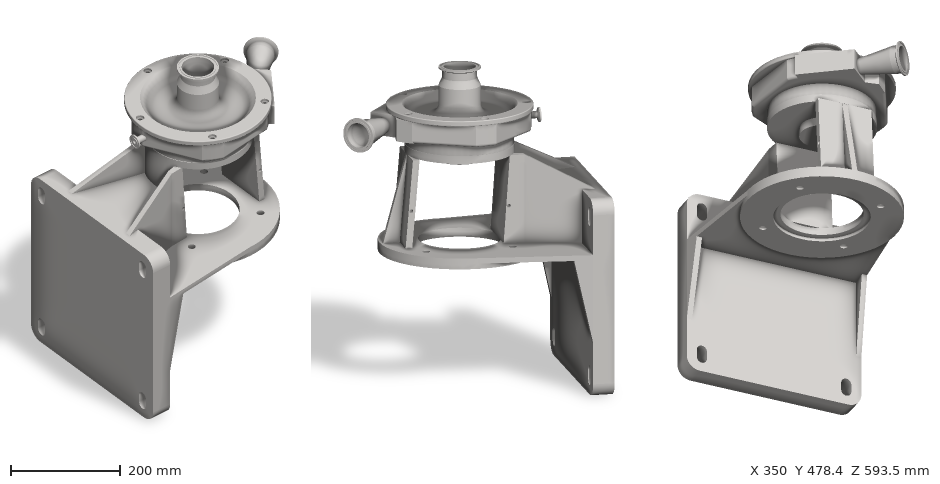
import cadquery as cq
import math


BASE_TOP = 269.5
REGISTER_BOTTOM = 249.0
WALL_TOP = 370.5
LEG_TOP = 435.0
RING_TOP = 450.0
CASING_BOTTOM = 473.0
CASING_TOP = 514.0
COVER_TOP = 524.0
INLET_TOP = 593.5
OUTLET_Z = 492.0
DRAIN_Z = 494.0

WALL_WIDTH = 350.0
WALL_FRONT = -250.0
WALL_THICKNESS = 40.5
WALL_BACK = WALL_FRONT + WALL_THICKNESS
WALL_CORNER = 26.0
SLOT_WIDTH = 20.0
SLOT_HEIGHT = 35.5
SLOT_SPACING_X = 289.5
SLOT_SPACING_Z = 299.0

BASE_RADIUS = 149.5
BASE_THICKNESS = 10.0
BASE_HOLE_RADIUS = 76.0
MOTOR_SPIGOT_RADIUS = 89.0
MOTOR_SPIGOT_DEPTH = 6.0
MOTOR_BOLT_RADIUS = 114.5
MOTOR_BOLT_HOLE = 14.0
MOTOR_BOLT_COUNT = 4
FIRST_MOTOR_BOLT_ANGLE = 45
RIB_THICKNESS = 10.5
LOWER_RIB_LENGTH = 34.5
LOWER_RIB_BOTTOM = 104.0

LEG_HALF_WIDTH = 53.5
LEG_THICKNESS = 12.5
REAR_LEG_TOP_Y = 87.0
LEG_LEAN = 13.5
FRONT_LEG_TOP_Y = -81.5
FRONT_LEG_LEAN = 11.0
REAR_RIB_FOOT = 144.0
PIN_HOLE = 7.0
PIN_HOLE_DEPTH = 12.0
PIN_HOLE_Z = 339.5
FRONT_PIN_Y = -79.5
REAR_PIN_Y = 102.5
GUSSET_START_Y = -108.5
GUSSET_END_Y = -234.5
GUSSET_FOOT_X = 88.5
GUSSET_HEAD_X = 57.0
GUSSET_INNER_X = 41.0
GUSSET_INNER_Y = -84.0

RING_RADIUS = 100.5
BODY_RADIUS = 99.0
HUB_RADIUS = 41.5
HUB_BOTTOM = 418.5
CASING_EDGE_FILLET = 5.5
COVER_RADIUS = 135.0
COVER_EDGE_FILLET = 2.0
LOBE_HALF_ANGLE = 9
LOBE_RADII = [130.5, 132.0, 131.0, 130.5, 129.0]
LOBE_COUNT = len(LOBE_RADII)
FIRST_LOBE_ANGLE = 45
LOBE_ANGLES = [FIRST_LOBE_ANGLE + 360 / LOBE_COUNT * i for i in range(LOBE_COUNT)]
COVER_BOLT_RADIUS = 122.0
BOLT_RECESS = 15.5
BOLT_RECESS_DEPTH = 4.0
BOLT_SOCKET = 7.0
BOLT_SOCKET_DEPTH = 8.0

DISH_DEPTH = 17.0
DISH_TOP_RADIUS = 105.5
DISH_FLOOR_RADIUS = 83.0
DISH_FILLET = 15.0
DISH_WALL_SLOPE = math.radians(45)

INLET_RADIUS = 38.5
INLET_ROOT_FILLET = 16.0
INLET_NECK_RADIUS = 32.0
INLET_BORE_RADIUS = 29.5
INLET_BORE_BOTTOM = 485.5
INLET_CONE_BOTTOM = 558.5
INLET_CONE_TOP = 573.5

FERRULE_LIP = 3.0
GROOVE_MARGIN = 3.0
GROOVE_WIDTH = 2.5
GROOVE_DEPTH = 1.0

OUTLET_ANGLE = 135
OUTLET_OFFSET = 97.0
OUTLET_FACE = 109.0
OUTLET_END = 194.0
OUTLET_CYLINDER_START = 177.0
OUTLET_BLOCK_START = 70.0
OUTLET_BLOCK_REACH = 123.5
OUTLET_BLOCK_END = 140.5
SHOULDER_DISTANCE = 131.0
SHOULDER_OFFSET = 54.0
OUTLET_SMALL_RADIUS = 15.0
OUTLET_LARGE_RADIUS = 26.0
OUTLET_FERRULE_RADIUS = 32.0
OUTLET_SMALL_BORE = 12.0
OUTLET_LARGE_BORE = 23.0

DRAIN_END = 150.0
DRAIN_STEM_RADIUS = 6.5
DRAIN_FERRULE_RADIUS = 13.5
DRAIN_BORE_RADIUS = 3.5
DRAIN_BORE_DEPTH = 24.0


def polar(radius, degrees):
    angle = math.radians(degrees)
    return radius * math.cos(angle), radius * math.sin(angle)


def disc(radius, bottom, top):
    return cq.Workplane("XY").workplane(offset=bottom).circle(radius).extrude(top - bottom)


def prism_x(points_yz, width):
    """Prism along X, centred on the pump axis, from an outline in the YZ plane."""
    plane = cq.Workplane("YZ").workplane(offset=-width / 2)
    return plane.polyline(points_yz).close().extrude(width)


def revolve_z(points_rz):
    return cq.Workplane("XZ").polyline(points_rz).close().revolve(360, (0, 0, 0), (0, 1, 0))


def make_wall():
    center_z = WALL_TOP / 2
    plane = cq.Workplane("XZ", origin=(0, WALL_BACK, center_z))
    wall = plane.rect(WALL_WIDTH, WALL_TOP).extrude(WALL_THICKNESS).edges("|Y").fillet(WALL_CORNER)
    slots = (
        plane.rect(SLOT_SPACING_X, SLOT_SPACING_Z, forConstruction=True).vertices()
        .slot2D(SLOT_HEIGHT, SLOT_WIDTH, 90).extrude(WALL_THICKNESS)
    )
    return wall.cut(slots)


def make_base():
    half_width = WALL_WIDTH / 2
    bottom = BASE_TOP - BASE_THICKNESS
    plate = (
        cq.Workplane("XY").workplane(offset=bottom)
        .moveTo(half_width, WALL_BACK).lineTo(BASE_RADIUS, 0)
        .threePointArc((0, BASE_RADIUS), (-BASE_RADIUS, 0))
        .lineTo(-half_width, WALL_BACK).close().extrude(BASE_THICKNESS)
    )
    base = plate.union(disc(BASE_RADIUS, REGISTER_BOTTOM, BASE_TOP))
    base = base.cut(disc(BASE_HOLE_RADIUS, REGISTER_BOTTOM, BASE_TOP))
    base = base.cut(disc(MOTOR_SPIGOT_RADIUS, REGISTER_BOTTOM, REGISTER_BOTTOM + MOTOR_SPIGOT_DEPTH))
    holes = (
        cq.Workplane("XY").workplane(offset=REGISTER_BOTTOM)
        .polarArray(MOTOR_BOLT_RADIUS, FIRST_MOTOR_BOLT_ANGLE, 360, MOTOR_BOLT_COUNT)
        .circle(MOTOR_BOLT_HOLE / 2).extrude(BASE_TOP - REGISTER_BOTTOM)
    )
    base = base.cut(holes)
    rib_outline = [
        (WALL_BACK, bottom),
        (WALL_BACK + LOWER_RIB_LENGTH, bottom),
        (WALL_BACK, LOWER_RIB_BOTTOM),
    ]
    rib_wedge = prism_x(rib_outline, WALL_WIDTH)
    for side in (-1, 1):
        rib_plan = [
            (side * half_width, WALL_BACK),
            (side * BASE_RADIUS, 0),
            (side * (BASE_RADIUS - RIB_THICKNESS), 0),
            (side * (half_width - RIB_THICKNESS), WALL_BACK),
        ]
        rib_slab = cq.Workplane("XY").polyline(rib_plan).close().extrude(bottom)
        base = base.union(rib_slab.intersect(rib_wedge))
    return base


def make_rear_leg():
    leg_foot_y = REAR_LEG_TOP_Y + LEG_LEAN
    back_top_y = REAR_LEG_TOP_Y + LEG_THICKNESS
    leg = prism_x(
        [
            (REAR_LEG_TOP_Y, LEG_TOP),
            (back_top_y, LEG_TOP),
            (leg_foot_y + LEG_THICKNESS, BASE_TOP),
            (leg_foot_y, BASE_TOP),
        ],
        2 * LEG_HALF_WIDTH,
    )
    rib = prism_x(
        [
            (REAR_LEG_TOP_Y, LEG_TOP),
            (back_top_y, LEG_TOP),
            (REAR_RIB_FOOT, BASE_TOP),
            (leg_foot_y, BASE_TOP),
        ],
        RIB_THICKNESS,
    )
    return leg.union(rib)


def make_front_leg():
    """Curved web with a flared gusset on each side and a shelf between the gussets."""
    inner_foot_y = FRONT_LEG_TOP_Y + FRONT_LEG_LEAN
    height = LEG_TOP - BASE_TOP
    plane = cq.Workplane("XY").workplane(offset=BASE_TOP)
    gusset_inner_foot = GUSSET_FOOT_X - RIB_THICKNESS
    leg = disc(RING_RADIUS, BASE_TOP, LEG_TOP).intersect(
        plane.rect(2 * GUSSET_INNER_X, 4 * RING_RADIUS).extrude(height)
    )
    for side in (-1, 1):
        outline = [
            (side * GUSSET_INNER_X, inner_foot_y),
            (side * LEG_HALF_WIDTH, inner_foot_y),
            (side * GUSSET_HEAD_X, GUSSET_START_Y),
            (side * GUSSET_FOOT_X, GUSSET_END_Y),
            (side * gusset_inner_foot, GUSSET_END_Y),
            (side * GUSSET_INNER_X, GUSSET_INNER_Y),
        ]
        leg = leg.union(plane.polyline(outline).close().extrude(height))
    side_outline = [
        (inner_foot_y, BASE_TOP),
        (FRONT_LEG_TOP_Y, LEG_TOP),
        (GUSSET_START_Y, LEG_TOP),
        (GUSSET_END_Y, WALL_TOP),
        (WALL_BACK, WALL_TOP),
        (WALL_BACK, BASE_TOP),
    ]
    leg = leg.intersect(prism_x(side_outline, WALL_WIDTH))
    shelf_share = (GUSSET_INNER_Y - WALL_BACK) / (GUSSET_INNER_Y - GUSSET_END_Y)
    shelf_end_x = GUSSET_INNER_X + shelf_share * (gusset_inner_foot - GUSSET_INNER_X)
    shelf = plane.polyline(
        [
            (-GUSSET_INNER_X, GUSSET_INNER_Y),
            (GUSSET_INNER_X, GUSSET_INNER_Y),
            (shelf_end_x, WALL_BACK),
            (-shelf_end_x, WALL_BACK),
        ]
    ).close().extrude(WALL_TOP - BASE_TOP)
    return leg.union(shelf)


def drill_pin_holes(body):
    for y in (FRONT_PIN_Y, REAR_PIN_Y):
        for side in (-1, 1):
            start = cq.Vector(side * GUSSET_HEAD_X, y, PIN_HOLE_Z)
            inward = cq.Vector(-side, 0, 0)
            hole = cq.Solid.makeCylinder(PIN_HOLE / 2, PIN_HOLE_DEPTH, start, inward)
            body = body.cut(cq.Workplane(hole))
    return body


def make_casing():
    """Five-lobed casing with flats between the lobes and the outlet block on one side."""
    outline = cq.Workplane("XY").workplane(offset=CASING_BOTTOM)
    for i, (angle, radius) in enumerate(zip(LOBE_ANGLES, LOBE_RADII)):
        start = polar(radius, angle - LOBE_HALF_ANGLE)
        outline = outline.moveTo(*start) if i == 0 else outline.lineTo(*start)
        outline = outline.threePointArc(polar(radius, angle), polar(radius, angle + LOBE_HALF_ANGLE))
    casing = outline.close().extrude(CASING_TOP - CASING_BOTTOM)
    return casing.faces("<Z").edges().fillet(CASING_EDGE_FILLET)


def along_outlet(distance, offset):
    """Point at a distance along the outlet direction and an offset to its right."""
    ax, ay = polar(distance, OUTLET_ANGLE)
    ox, oy = polar(offset, OUTLET_ANGLE - 90)
    return ax + ox, ay + oy


def make_outlet_block():
    """Block behind the outlet face, with a pointed shoulder that runs back to the nearest lobe."""
    points = [
        polar(LOBE_RADII[1], LOBE_ANGLES[1] + LOBE_HALF_ANGLE),
        along_outlet(SHOULDER_DISTANCE, SHOULDER_OFFSET),
        along_outlet(OUTLET_FACE, OUTLET_BLOCK_START),
        along_outlet(OUTLET_FACE, OUTLET_BLOCK_REACH),
        along_outlet(0, OUTLET_BLOCK_END),
        (0, 0),
    ]
    plane = cq.Workplane("XY").workplane(offset=CASING_BOTTOM)
    return plane.polyline(points).close().extrude(CASING_TOP - CASING_BOTTOM)


def make_cover():
    return disc(COVER_RADIUS, CASING_TOP, COVER_TOP).edges().fillet(COVER_EDGE_FILLET)


def cut_dish(body):
    floor = COVER_TOP - DISH_DEPTH
    reach = DISH_FILLET * math.sin(DISH_WALL_SLOPE)
    rise = DISH_FILLET * (1 - math.cos(DISH_WALL_SLOPE))
    mid_reach = DISH_FILLET * math.sin(DISH_WALL_SLOPE / 2)
    mid_rise = DISH_FILLET * (1 - math.cos(DISH_WALL_SLOPE / 2))
    root_center = INLET_RADIUS + INLET_ROOT_FILLET
    root_mid = INLET_ROOT_FILLET / math.sqrt(2)
    dish = (
        cq.Workplane("XZ")
        .moveTo(INLET_RADIUS, COVER_TOP)
        .lineTo(INLET_RADIUS, floor + INLET_ROOT_FILLET)
        .threePointArc(
            (root_center - root_mid, floor + INLET_ROOT_FILLET - root_mid), (root_center, floor)
        )
        .lineTo(DISH_FLOOR_RADIUS, floor)
        .threePointArc(
            (DISH_FLOOR_RADIUS + mid_reach, floor + mid_rise),
            (DISH_FLOOR_RADIUS + reach, floor + rise),
        )
        .lineTo(DISH_TOP_RADIUS, COVER_TOP)
        .close().revolve(360, (0, 0, 0), (0, 1, 0))
    )
    return body.cut(dish)


def cut_cover_bolts(body):
    for diameter, depth in ((BOLT_RECESS, BOLT_RECESS_DEPTH), (BOLT_SOCKET, BOLT_SOCKET_DEPTH)):
        holes = (
            cq.Workplane("XY").workplane(offset=COVER_TOP - depth)
            .polarArray(COVER_BOLT_RADIUS, FIRST_LOBE_ANGLE, 360, LOBE_COUNT)
            .circle(diameter / 2).extrude(depth)
        )
        body = body.cut(holes)
    return body


def ferrule_outline(neck_radius, lip_radius, end):
    """Outer half-profile of a clamp ferrule with a gasket groove, from its neck to the axis."""
    groove_outer = lip_radius - GROOVE_MARGIN
    groove_inner = groove_outer - GROOVE_WIDTH
    return [
        (neck_radius, end - 2 * FERRULE_LIP),
        (lip_radius, end - FERRULE_LIP),
        (lip_radius, end),
        (groove_outer, end),
        (groove_outer, end - GROOVE_DEPTH),
        (groove_inner, end - GROOVE_DEPTH),
        (groove_inner, end),
        (0, end),
    ]


def make_inlet():
    return revolve_z([
        (0, CASING_BOTTOM),
        (INLET_RADIUS, CASING_BOTTOM),
        (INLET_RADIUS, INLET_CONE_BOTTOM),
        (INLET_NECK_RADIUS, INLET_CONE_TOP),
        *ferrule_outline(INLET_NECK_RADIUS, INLET_RADIUS, INLET_TOP),
    ])


def place_outlet(shape):
    """Turn a shape revolved about Z so that it points along the outlet direction."""
    x, y = along_outlet(0, OUTLET_OFFSET)
    lying = shape.rotate((0, 0, 0), (0, 1, 0), 90)
    turned = lying.rotate((0, 0, 0), (0, 0, 1), OUTLET_ANGLE)
    return turned.translate((x, y, OUTLET_Z))


def make_outlet():
    return place_outlet(revolve_z([
        (0, OUTLET_FACE),
        (OUTLET_SMALL_RADIUS, OUTLET_FACE),
        (OUTLET_LARGE_RADIUS, OUTLET_CYLINDER_START),
        *ferrule_outline(OUTLET_LARGE_RADIUS, OUTLET_FERRULE_RADIUS, OUTLET_END),
    ]))


def make_outlet_bore():
    return place_outlet(revolve_z([
        (0, 0),
        (OUTLET_SMALL_BORE, 0),
        (OUTLET_SMALL_BORE, OUTLET_FACE),
        (OUTLET_LARGE_BORE, OUTLET_CYLINDER_START),
        (OUTLET_LARGE_BORE, OUTLET_END),
        (0, OUTLET_END),
    ]))


def make_drain():
    drain = revolve_z([
        (0, BODY_RADIUS),
        (DRAIN_STEM_RADIUS, BODY_RADIUS),
        *ferrule_outline(DRAIN_STEM_RADIUS, DRAIN_FERRULE_RADIUS, DRAIN_END),
    ])
    drain = drain.cut(disc(DRAIN_BORE_RADIUS, DRAIN_END - DRAIN_BORE_DEPTH, DRAIN_END))
    return drain.rotate((0, 0, 0), (1, 0, 0), 90).translate((0, 0, DRAIN_Z))


bracket = make_wall().union(make_base()).union(make_rear_leg()).union(make_front_leg())
bracket = drill_pin_holes(bracket)

pump = make_casing().union(make_outlet_block()).union(make_cover())
pump = cut_dish(pump)
pump = cut_cover_bolts(pump)
pump = pump.union(make_inlet()).union(make_outlet())
pump = pump.cut(disc(INLET_BORE_RADIUS, INLET_BORE_BOTTOM, INLET_TOP)).cut(make_outlet_bore())
pump = pump.union(make_drain())
pump = pump.union(disc(BODY_RADIUS, RING_TOP, CASING_BOTTOM)).union(disc(RING_RADIUS, LEG_TOP, RING_TOP))
pump = pump.union(disc(HUB_RADIUS, HUB_BOTTOM, LEG_TOP))

result = bracket.union(pump)